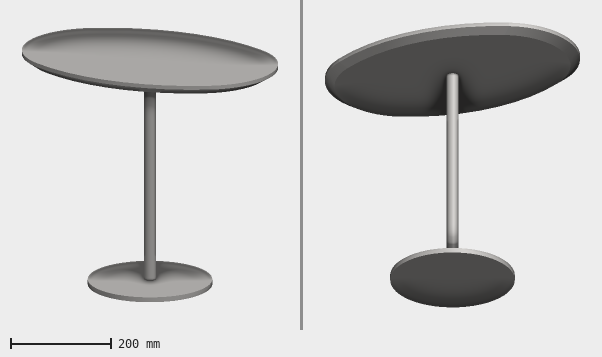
import cadquery as cq
import math

total_height = 474.0

top_length = 532.5
top_width = 360.0
end_radius = 150.0
top_thickness = 20.0
rim_height = 8.0
underside_scale = 0.925

base_diameter = 249.0
base_thickness = 10.0
post_diameter = 24.0
post_foot_chamfer = 1.5

top_underside = total_height - top_thickness
bevel_height = top_thickness - rim_height


def oval(scale, z):
    """Closed tangent-arc oval at height z, scaled about its centre."""
    half_length = scale * top_length / 2
    half_width = scale * top_width / 2
    arc_radius = scale * end_radius
    end_center_x = half_length - arc_radius
    side_radius = (end_center_x**2 + half_width**2 - arc_radius**2) / (2 * (half_width - arc_radius))
    side_center_y = side_radius - half_width
    joint_angle = math.atan2(side_center_y, end_center_x)
    joint_x = end_center_x + arc_radius * math.cos(joint_angle)
    joint_y = arc_radius * math.sin(joint_angle)
    return (
        cq.Workplane("XY", origin=(0, 0, z))
        .moveTo(joint_x, -joint_y)
        .threePointArc((half_length, 0), (joint_x, joint_y))
        .threePointArc((0, half_width), (-joint_x, joint_y))
        .threePointArc((-half_length, 0), (-joint_x, -joint_y))
        .threePointArc((0, -half_width), (joint_x, -joint_y))
        .close()
    )


def make_top():
    """Oval plate with an upright rim above a bevelled underside."""
    rim_bottom = top_underside + bevel_height
    rim = oval(1, rim_bottom).extrude(rim_height)
    lower_outline = oval(underside_scale, top_underside).val()
    upper_outline = oval(1, rim_bottom).val()
    bevel = cq.Solid.makeLoft([lower_outline, upper_outline], True)
    return rim.union(cq.Workplane(obj=bevel))


def make_post():
    """Round post from base to top, with a small chamfer around its foot."""
    post_length = top_underside - base_thickness
    post = cq.Workplane("XY", origin=(0, 0, base_thickness)).circle(post_diameter / 2).extrude(post_length)
    return post.faces("<Z").chamfer(post_foot_chamfer)


def make_base():
    """Flat round foot."""
    return cq.Workplane("XY").circle(base_diameter / 2).extrude(base_thickness)


top = make_top()
post = make_post()
base = make_base()

result = cq.Compound.makeCompound([top.val(), post.val(), base.val()])